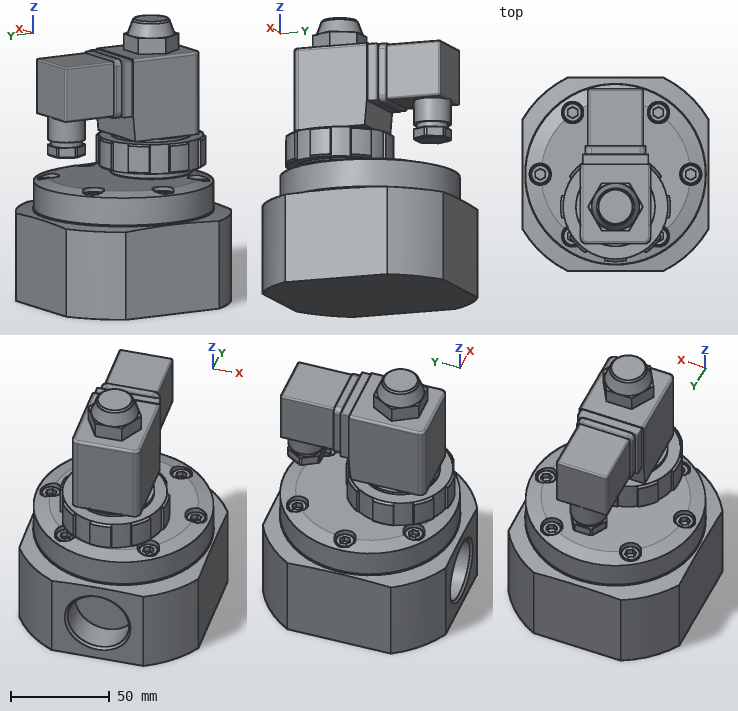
import cadquery as cq
import math

BODY_X = 94.0
BODY_Y = 98.0
BODY_ROUND_D = 109.1
BODY_SHOULDER_Z = 45.1
BODY_RIM_Z = 46.3

PORT_Z = 22.8
PORT_D = 32.1
PORT_MOUTH_D = 34.5
PORT_DEPTH = 15.7

SEAT_D = 91.5
COVER_D = 91.0
COVER_BOTTOM_Z = 47.0
COVER_EDGE_Z = 61.0
COVER_TOP_Z = 63.1
COVER_FLAT_D = 75.4

SCREW_CIRCLE_R = 38.0
SCREW_TILT = 55.2
SCREW_ANGLES = (0, SCREW_TILT, 180 - SCREW_TILT, 180, 180 + SCREW_TILT, 360 - SCREW_TILT)
SCREW_POCKET_D = 11.0
SCREW_HEAD_D = 10
SCREW_HEAD_CHAMFER = 0.5
SCREW_HEAD_TOP_Z = 61.3
SCREW_HEAD_HEIGHT = 6.0
SOCKET_FLATS = 5.0
SOCKET_DEPTH = 3.0

SOLENOID_Y = -16.4
NECK_D = 33.5
COLLAR_D = 42.0
COLLAR_BOTTOM_Z = 64.0
COLLAR_CHAMFER = 0.5
LIP_D = 43.1
LIP_HEIGHT = 0.9
RING_D = 52.8
RING_BOTTOM_Z = 67.8
RING_TOP_Z = 83.0
FLANGE_D = 40

TOOTH_COUNT = 8
TOOTH_WIDTH = 11.0
TOOTH_TIP_D = 55.4
TOOTH_BEVEL_HEIGHT = 0.9

COIL_BOTTOM_Z = 84.4
COIL_TOP_Z = 126.8
COIL_WIDTH = 35.5
COIL_FRONT_Y = -35.1
COIL_BACK_Y = 5.1
COIL_TAPER_Z = 97.1
COIL_TAPER = 1.1
COIL_CORNER_R = 3.3
COIL_TOP_R = 1.3

CAP_HEX_FLATS = 24.0
CAP_HEX_TOP_Z = 135.0
CAP_CONE_BASE_D = CAP_HEX_FLATS
CAP_CONE_TOP_D = 18.8
CAP_CONE_TOP_Z = 141.8
CAP_CROWN_D = 17.1
CAP_TOP_Z = 142.8

ADAPTER_WIDTH = 33.3
ADAPTER_BOTTOM_Z = 97.1
ADAPTER_TOP_Z = 126.4
ADAPTER_EDGE_R = 0.4
GASKET_WIDTH = 30.5
GASKET_FRONT_Y = 10.1
GASKET_BOTTOM_Z = 96.5
GASKET_TOP_Z = 126.8
GASKET_CORNER_R = 3.1
GASKET_EDGE_R = 0.5
PLUG_WIDTH = 27.8
PLUG_FRONT_Y = 14.4
PLUG_BACK_Y = 43.3
PLUG_BOTTOM_Z = 97.7
PLUG_TOP_Z = 126.0
PLUG_EDGE_R = 0.9

GLAND_D = 18.8
GLAND_BOTTOM_Z = 85.8
GLAND_NECK_D = 16.0
GLAND_NUT_TOP_Z = 83.0
GLAND_NUT_BOTTOM_Z = 77.7
GLAND_NUT_FLATS = 17.1
GLAND_NUT_ROUND_D = 19.1
GLAND_NUT_CHAMFER = 0.5


def cylinder(diameter, bottom_z, top_z, y=0, x=0):
    return (
        cq.Workplane("XY", origin=(x, y, bottom_z))
        .circle(diameter / 2)
        .extrude(top_z - bottom_z)
    )


def box(width, y_min, y_max, bottom_z, top_z):
    """Box centred on X = 0."""
    return cq.Workplane("XY").box(
        width, y_max - y_min, top_z - bottom_z, centered=(True, False, False)
    ).translate((0, y_min, bottom_z))


def hexagon(flats, bottom_z, top_z, y=0, x=0, turn=0):
    """Hexagonal prism with corners on +X and -X, then turned about its axis."""
    corner_d = flats / math.cos(math.radians(30))
    prism = cq.Workplane("XY").polygon(6, corner_d).extrude(top_z - bottom_z)
    return prism.rotate((0, 0, 0), (0, 0, 1), turn).translate((x, y, bottom_z))


def turned(profile):
    """Revolve a closed (radius, z) outline about the Z axis."""
    return cq.Workplane("XZ").polyline(profile).close().revolve(360, (0, 0), (0, 1))


def make_body():
    block = box(BODY_X, -BODY_Y / 2, BODY_Y / 2, 0, BODY_RIM_Z)
    envelope = turned([
        (0, 0),
        (BODY_ROUND_D / 2, 0),
        (BODY_ROUND_D / 2, BODY_SHOULDER_Z),
        (SEAT_D / 2, BODY_RIM_Z),
        (0, BODY_RIM_Z),
    ])
    mouth_depth = (PORT_MOUTH_D - PORT_D) / 2
    port = (
        cq.Workplane("XZ", origin=(0, -BODY_Y / 2, PORT_Z))
        .circle(PORT_D / 2)
        .extrude(-PORT_DEPTH)
    )
    mouth = (
        cq.Workplane("XZ", origin=(0, -BODY_Y / 2, PORT_Z))
        .circle(PORT_MOUTH_D / 2)
        .extrude(-mouth_depth, taper=45)
    )
    return block.intersect(envelope).cut(port).cut(mouth)


def make_cover():
    return turned([
        (0, BODY_RIM_Z),
        (SEAT_D / 2, BODY_RIM_Z),
        (SEAT_D / 2, COVER_BOTTOM_Z),
        (COVER_D / 2, COVER_BOTTOM_Z),
        (COVER_D / 2, COVER_EDGE_Z),
        (COVER_FLAT_D / 2, COVER_TOP_Z),
        (0, COVER_TOP_Z),
    ])


def fit_screw(cover, angle):
    """Sink a pocket in the cover and place a socket head screw in it."""
    x = SCREW_CIRCLE_R * math.cos(math.radians(angle))
    y = SCREW_CIRCLE_R * math.sin(math.radians(angle))
    pocket_floor_z = SCREW_HEAD_TOP_Z - SCREW_HEAD_HEIGHT
    pocket = cylinder(SCREW_POCKET_D, pocket_floor_z, COVER_TOP_Z, y, x)
    head = cylinder(SCREW_HEAD_D, pocket_floor_z, SCREW_HEAD_TOP_Z, y, x)
    head = head.faces(">Z").chamfer(SCREW_HEAD_CHAMFER)
    socket = hexagon(
        SOCKET_FLATS, SCREW_HEAD_TOP_Z - SOCKET_DEPTH, SCREW_HEAD_TOP_Z, y, x, turn=30
    )
    return cover.cut(pocket).union(head.cut(socket))


def make_stem():
    """Neck, collar flaring to a lip under the ring, union ring and coil flange."""
    neck = cylinder(NECK_D, COVER_TOP_Z, COLLAR_BOTTOM_Z, SOLENOID_Y)
    collar = turned([
        (0, COLLAR_BOTTOM_Z),
        (COLLAR_D / 2 - COLLAR_CHAMFER, COLLAR_BOTTOM_Z),
        (COLLAR_D / 2, COLLAR_BOTTOM_Z + COLLAR_CHAMFER),
        (COLLAR_D / 2, RING_BOTTOM_Z - LIP_HEIGHT),
        (LIP_D / 2, RING_BOTTOM_Z),
        (0, RING_BOTTOM_Z),
    ]).translate((0, SOLENOID_Y, 0))
    flange = cylinder(FLANGE_D, RING_TOP_Z, COIL_BOTTOM_Z, SOLENOID_Y)
    return neck.union(collar).union(make_ring()).union(flange)


def make_ring():
    """Union ring whose grip teeth are bevelled down to the ring at both ends."""
    ring = cylinder(RING_D, RING_BOTTOM_Z, RING_TOP_Z)
    tips = turned([
        (0, RING_BOTTOM_Z),
        (RING_D / 2, RING_BOTTOM_Z),
        (TOOTH_TIP_D / 2, RING_BOTTOM_Z + TOOTH_BEVEL_HEIGHT),
        (TOOTH_TIP_D / 2, RING_TOP_Z - TOOTH_BEVEL_HEIGHT),
        (RING_D / 2, RING_TOP_Z),
        (0, RING_TOP_Z),
    ])
    bar = box(TOOTH_WIDTH, 0, TOOTH_TIP_D, RING_BOTTOM_Z, RING_TOP_Z)
    for i in range(TOOTH_COUNT):
        tooth = tips.intersect(bar.rotate((0, 0, 0), (0, 0, 1), i * 360 / TOOTH_COUNT))
        ring = ring.union(tooth)
    return ring.translate((0, SOLENOID_Y, 0))


def make_coil():
    """Housing with rounded front corners and top edges; the lower back leans forward."""
    coil = box(COIL_WIDTH, COIL_FRONT_Y, COIL_BACK_Y, COIL_BOTTOM_Z, COIL_TOP_Z)
    coil = coil.edges("|Z and <Y").fillet(COIL_CORNER_R)
    coil = coil.faces(">Z").edges("not >Y").fillet(COIL_TOP_R)
    wedge = (
        cq.Workplane("YZ")
        .moveTo(COIL_BACK_Y, COIL_TAPER_Z)
        .lineTo(COIL_BACK_Y, COIL_BOTTOM_Z)
        .lineTo(COIL_BACK_Y - COIL_TAPER, COIL_BOTTOM_Z)
        .close()
        .extrude(COIL_WIDTH / 2, both=True)
    )
    return coil.cut(wedge)


def make_cap():
    nut = hexagon(CAP_HEX_FLATS, COIL_TOP_Z, CAP_HEX_TOP_Z)
    dome = turned([
        (0, CAP_HEX_TOP_Z),
        (CAP_CONE_BASE_D / 2, CAP_HEX_TOP_Z),
        (CAP_CONE_TOP_D / 2, CAP_CONE_TOP_Z),
        (CAP_CROWN_D / 2, CAP_TOP_Z),
        (0, CAP_TOP_Z),
    ])
    return nut.union(dome).translate((0, SOLENOID_Y, 0))


def make_connector():
    adapter = box(ADAPTER_WIDTH, COIL_BACK_Y, GASKET_FRONT_Y, ADAPTER_BOTTOM_Z, ADAPTER_TOP_Z)
    adapter = adapter.edges("|Y or >Y").fillet(ADAPTER_EDGE_R)
    gasket = box(GASKET_WIDTH, GASKET_FRONT_Y, PLUG_FRONT_Y, GASKET_BOTTOM_Z, GASKET_TOP_Z)
    gasket = gasket.edges("|Y").fillet(GASKET_CORNER_R)
    gasket = gasket.faces("<Y or >Y").edges().fillet(GASKET_EDGE_R)
    plug = box(PLUG_WIDTH, PLUG_FRONT_Y, PLUG_BACK_Y, PLUG_BOTTOM_Z, PLUG_TOP_Z)
    plug = plug.edges("|Y or >Y").fillet(PLUG_EDGE_R)
    return adapter.union(gasket).union(plug).union(make_gland())


def make_gland():
    gland_y = PLUG_BACK_Y - GLAND_D / 2
    sleeve_top_z = PLUG_BOTTOM_Z + PLUG_EDGE_R
    sleeve = cylinder(GLAND_D, GLAND_BOTTOM_Z, sleeve_top_z, gland_y)
    neck = cylinder(GLAND_NECK_D, GLAND_NUT_TOP_Z, GLAND_BOTTOM_Z, gland_y)
    nut = hexagon(GLAND_NUT_FLATS, GLAND_NUT_BOTTOM_Z, GLAND_NUT_TOP_Z, gland_y)
    rounding = cylinder(GLAND_NUT_ROUND_D, GLAND_NUT_BOTTOM_Z, GLAND_NUT_TOP_Z, gland_y)
    nut = nut.intersect(rounding).faces("<Z").chamfer(GLAND_NUT_CHAMFER)
    return sleeve.union(neck).union(nut)


cover = make_cover()
for screw_angle in SCREW_ANGLES:
    cover = fit_screw(cover, screw_angle)

result = (
    make_body()
    .union(cover)
    .union(make_stem())
    .union(make_coil())
    .union(make_cap())
    .union(make_connector())
)